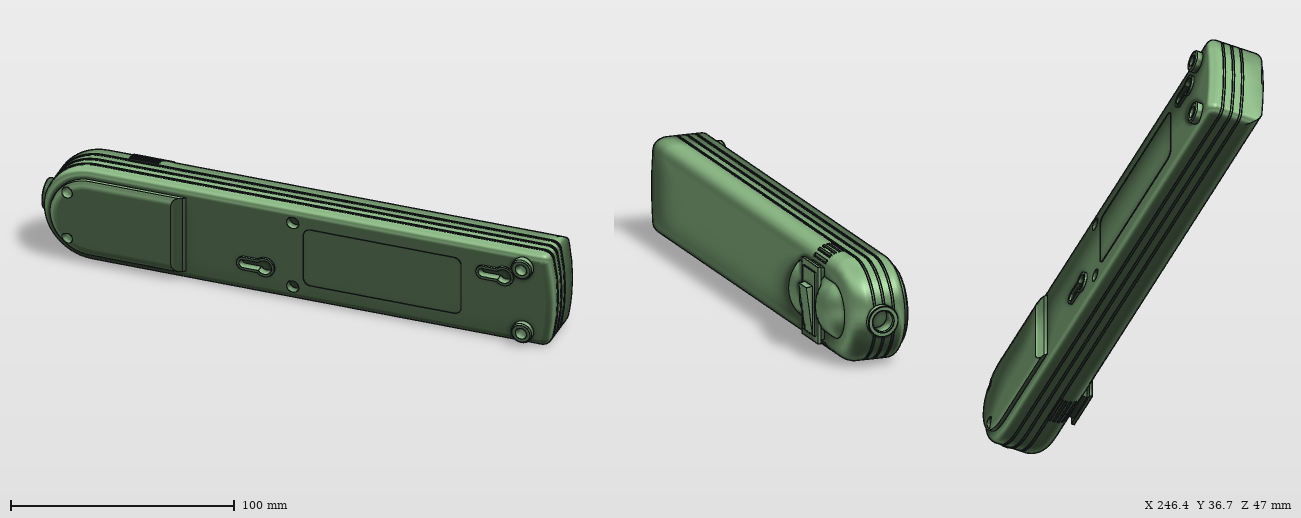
import cadquery as cq
import math


half_width = 23.495
body_depth = 25.9
tail_x = 220.74
crown_radius = 8.0
back_fillet = 3.6
tail_arc_radius = 100.0
tail_corner_radius = 4.3
tail_edge_fillet = 1.2

groove_pitch = 4.45
groove_width = 1.0
groove_depth = 0.4
middle_groove_y = 10.9
groove_offsets = (-groove_pitch, 0, groove_pitch)

button_tip_x = -25.65
button_radius = 7.2
button_chamfer = 0.3
button_bore_chamfer = 0.5
button_bore_radius = 4.7
button_bore_depth = 8.0
button_y = 12.4

cover_height = 3.15
cover_half_width = 19.0
cover_wall_height = 1.7
cover_crown_radius = 5.7
cover_slope_top_x = 39.2
cover_slope_base_x = 45.2
cover_step_length = 1.1
cover_upper_step_y = -2.4
cover_lower_step_y = -1.0
cover_hole_x = -10.4
cover_hole_z = 11.8
cover_hole_radius = 2.6

fastener_z = 16.5
screw_hole_x = 96.3
screw_hole_radius = 2.9
foot_x = 206.5
foot_height = cover_height
foot_radius = 4.9
foot_chamfer = 0.6
foot_hole_radius = 2.7
hole_depth = 4.0

keyhole_places = ((83.1, -8.8), (197.4, 10.2))
keyhole_length = 10.0
keyhole_head_radius = 3.5
keyhole_slot_radius = 2.1
keyhole_wall = 1.2
keyhole_rim_height = 1.1
keyhole_depth = 3.0

label_x_min = 101.3
label_x_max = 176.7
label_width = 29.0
label_corner_radius = 3.5
label_depth = 0.3

hump_top_y = 31.3
hump_radius = 17.5
hump_end_x = 42.1
hump_end_fillet = 1.0

switch_x = 18.95
frame_length = 19.3
frame_half_width = 17.8
frame_top_y = 29.9
frame_thickness = 1.4
block_length = 14.0
block_half_width = 16.6
block_top_y = 29.8
step_top_y = 30.6
step_half_width = 14.8
rocker_length = 9.1
rocker_peak_y = 33.55
rocker_peak_z = 7.4
rocker_back_z = 8.0
rocker_low_z = -step_half_width

grip_count = 5
grip_pitch = 2.2
grip_width = 1.1
grip_depth = 0.8
grip_first_y = 16.2


def plan(top_y):
    """Workplane at y = top_y whose local axes are X and Z; it extrudes towards -Y."""
    return cq.Workplane("XZ", origin=(0, top_y, 0))


def box(x_min, x_max, y_min, y_max, half_z):
    """Block that is symmetric about z = 0."""
    size = (x_max - x_min, y_max - y_min, 2 * half_z)
    return cq.Workplane("XY").box(*size, centered=(False, False, True)).translate((x_min, y_min, 0))


def disc(x, z, radius, y_min, y_max):
    """Round pillar along Y."""
    return plan(y_max).center(x, z).circle(radius).extrude(y_max - y_min)


def pill(radius, end_x, y_min, y_max):
    """Slab with a half-round head about the origin and a square end."""
    return (
        plan(y_max)
        .moveTo(end_x, -radius)
        .lineTo(0, -radius)
        .threePointArc((-radius, 0), (0, radius))
        .lineTo(end_x, radius)
        .close()
        .extrude(y_max - y_min)
    )


def half_section_plane():
    """Plane x = 0 with local axes Z (reversed) and Y; it extrudes towards +X."""
    return cq.Workplane(cq.Plane(origin=(0, 0, 0), xDir=(0, 0, -1), normal=(1, 0, 0)))


def round_headed(half_section, end_x):
    """Bar along X with a domed head, from a closed half section on the half section plane."""
    outline = half_section.val()
    head = half_section_plane().add(outline).toPending().revolve(360, (0, 0, 0), (0, 1, 0))
    half_bar = half_section_plane().add(outline).toPending().extrude(end_x)
    return head.union(half_bar).union(half_bar.mirror("XY"))


def body_outline(inset, y_min, y_max):
    """Slab with the plan shape of the body, drawn in by inset: round head, bowed tail with round corners."""
    radius = half_width - inset
    tail_radius = tail_arc_radius - inset
    corner_radius = tail_corner_radius - inset
    tail_center_x = tail_x - tail_arc_radius
    corner_x = tail_center_x + math.sqrt(tail_radius**2 - radius**2)
    slab = (
        plan(y_max)
        .moveTo(corner_x, -radius)
        .lineTo(0, -radius)
        .threePointArc((-radius, 0), (0, radius))
        .lineTo(corner_x, radius)
        .threePointArc((tail_x - inset, 0), (corner_x, -radius))
        .close()
        .extrude(y_max - y_min)
    )
    return slab.edges("|Y").edges(">X").fillet(corner_radius)


def make_body():
    """Main body: crowned sides and head, bowed tail, rounded back edge."""
    crowned = pill(half_width, 2 * tail_x, 0, body_depth)
    crowned = crowned.faces(">Y").edges("not >X").fillet(crown_radius)
    slab = body_outline(0, 0, body_depth)
    slab = slab.faces("<Y").edges().fillet(back_fillet)
    slab = slab.faces(">Y").edges().fillet(tail_edge_fillet)
    return slab.intersect(crowned)


def make_grooves():
    """Material to remove for the three grooves that run all round the body."""
    grooves = cq.Workplane("XY")
    for offset in groove_offsets:
        y_min = middle_groove_y + offset - groove_width / 2
        y_max = y_min + groove_width
        outer = pill(2 * half_width, 2 * tail_x, y_min, y_max)
        grooves = grooves.add(outer.cut(body_outline(groove_depth, y_min, y_max)))
    return grooves.combine()


def make_hump():
    """Arched hump whose head is part of a sphere."""
    center_y = hump_top_y - hump_radius
    half_section = (
        half_section_plane()
        .moveTo(0, center_y)
        .lineTo(hump_radius, center_y)
        .radiusArc((0, hump_top_y), -hump_radius)
        .close()
    )
    hump = round_headed(half_section, hump_end_x)
    hump = hump.intersect(box(-half_width, hump_end_x, body_depth - back_fillet, hump_top_y, half_width))
    hump = hump.faces(">X").edges("%CIRCLE").fillet(hump_end_fillet)
    x_min = switch_x - frame_length / 2
    return hump.cut(box(x_min, x_min + frame_length, frame_top_y, hump_top_y, half_width))


def make_switch():
    """Switch across the hump: frame, block, raised step and sloping rocker."""

    def across(length, y_min, y_max, half_z):
        return box(switch_x - length / 2, switch_x + length / 2, y_min, y_max, half_z)

    frame = across(frame_length, frame_top_y - frame_thickness, frame_top_y, frame_half_width)
    block = across(block_length, body_depth - crown_radius, block_top_y, block_half_width)
    step = across(block_length, body_depth, step_top_y, step_half_width)
    rocker = (
        cq.Workplane("YZ", origin=(switch_x - rocker_length / 2, 0, 0))
        .polyline(
            [
                (block_top_y, rocker_low_z),
                (step_top_y, rocker_low_z),
                (rocker_peak_y, rocker_peak_z),
                (block_top_y, rocker_back_z),
            ]
        )
        .close()
        .extrude(rocker_length)
    )
    return frame.union(block).union(step).union(rocker)


def make_grip_grooves():
    """Grooves along X cut into both crowned sides, following the crown."""
    crown_center_y = body_depth - crown_radius
    crown_center_z = half_width - crown_radius
    grooves = cq.Workplane("XY")
    for index in range(grip_count):
        y = grip_first_y + index * grip_pitch
        rise = max(0, y - crown_center_y)
        surface_z = crown_center_z + math.sqrt(crown_radius**2 - rise**2)
        for side in (-1, 1):
            groove = cq.Workplane("XY").box(block_length, grip_width, 2 * grip_depth)
            grooves = grooves.add(groove.translate((switch_x, y, side * surface_z)))
    return grooves.combine()


def make_button():
    """Bored button along X at the tip of the head."""
    button = cq.Workplane("YZ", origin=(button_tip_x, button_y, 0)).circle(button_radius)
    button = button.extrude(button_bore_depth)
    return button.faces("<X").edges().chamfer(button_chamfer)


def make_button_bore():
    """Blind bore of the button with its chamfered mouth."""
    bore = cq.Workplane("YZ", origin=(button_tip_x, button_y, 0)).circle(button_bore_radius)
    mouth = cq.Workplane("YZ", origin=(button_tip_x, button_y, 0))
    mouth = mouth.circle(button_bore_radius + button_bore_chamfer).extrude(2 * button_bore_chamfer)
    mouth = mouth.faces(">X").edges().chamfer(button_bore_chamfer)
    return bore.extrude(button_bore_depth).union(mouth)


def make_cover():
    """Back cover: a low wall with arched sides and head, and a stepped slope at its end."""
    arch_rise = cover_height - cover_wall_height
    arch_run = math.sqrt(cover_crown_radius**2 - (cover_crown_radius - arch_rise) ** 2)
    half_section = (
        half_section_plane()
        .moveTo(0, back_fillet)
        .lineTo(cover_half_width, back_fillet)
        .lineTo(cover_half_width, -cover_wall_height)
        .radiusArc((cover_half_width - arch_run, -cover_height), cover_crown_radius)
        .lineTo(0, -cover_height)
        .close()
    )
    cover = round_headed(half_section, cover_slope_base_x)
    slope_limit = (
        cq.Workplane("XY", origin=(0, 0, -half_width))
        .polyline(
            [
                (-half_width, -cover_height),
                (cover_slope_top_x, -cover_height),
                (cover_slope_top_x + cover_step_length, cover_upper_step_y),
                (cover_slope_base_x - cover_step_length, cover_lower_step_y),
                (cover_slope_base_x, 0),
                (cover_slope_base_x, back_fillet),
                (-half_width, back_fillet),
            ]
        )
        .close()
        .extrude(2 * half_width)
    )
    return cover.intersect(slope_limit)


def make_foot(z):
    """Round foot with a chamfered rim."""
    foot = disc(foot_x, z, foot_radius, -foot_height, back_fillet)
    return foot.faces("<Y").edges().chamfer(foot_chamfer)


def make_keyhole(x, z, wall, y_min, y_max):
    """Keyhole shape whose slot runs from its round head towards -X."""
    head = disc(x, z, keyhole_head_radius + wall, y_min, y_max)
    slot_end = disc(x - keyhole_length, z, keyhole_slot_radius + wall, y_min, y_max)
    slot_half = keyhole_slot_radius + wall
    slot = box(x - keyhole_length, x, y_min, y_max, slot_half).translate((0, 0, z))
    return head.union(slot_end).union(slot)


def make_label_recess():
    """Shallow rounded rectangle in the back."""
    recess = box(label_x_min, label_x_max, 0, label_depth, label_width / 2)
    return recess.edges("|Y").fillet(label_corner_radius)


result = make_body().cut(make_grooves())
result = result.union(make_hump()).union(make_switch()).cut(make_grip_grooves())
result = result.union(make_button()).cut(make_button_bore())
result = result.union(make_cover()).cut(make_label_recess())

for side in (-1, 1):
    result = result.union(make_foot(side * fastener_z))
    result = result.cut(disc(foot_x, side * fastener_z, foot_hole_radius, -foot_height, hole_depth))
    result = result.cut(disc(screw_hole_x, side * fastener_z, screw_hole_radius, 0, hole_depth))
    cover_hole = disc(cover_hole_x, side * cover_hole_z, cover_hole_radius, -cover_height, hole_depth)
    result = result.cut(cover_hole)

for x, z in keyhole_places:
    result = result.union(make_keyhole(x, z, keyhole_wall, -keyhole_rim_height, keyhole_depth))
    result = result.cut(make_keyhole(x, z, 0, -keyhole_rim_height, keyhole_depth))